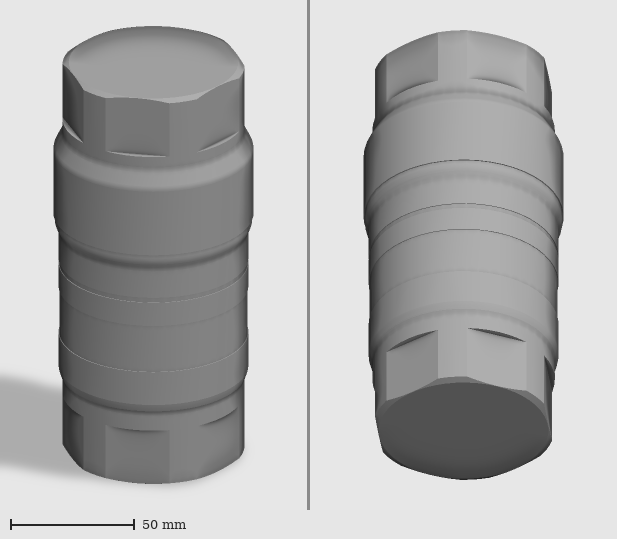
import cadquery as cq

length = 172.1
end_radius = 36.8
sleeve_radius = 40.5
body_radius = 38.4
waist_radius = 38.0
shoulder_radius = 40.0

flat_count = 6
flat_distance = 34.5
flat_angle = 8.7
flat_length = 25.0
end_face_radius = 34.2
end_chamfer_height = 1.2

base_neck_top = 31.7
base_lip_bottom = 33.9
base_lip_top = 34.5
lower_band_bottom = 37.2
lower_band_top = 51.8
middle_band_bottom = 72.5
groove_bottom = 82.8
groove_top = 85.0
upper_band_top = 96.9
shoulder_slope_bottom = 99.1
shoulder_edge = 100.3
shoulder_bottom = 103.1
sleeve_bottom = 105.0
sleeve_top = 133.4
cone_bottom = 135.5
cone_top = 140.5
top_neck_bottom = 142.5

base_lip_bottom_radius = 37.5
base_lip_top_radius = 37.7
shoulder_slope_radius = 38.9
shoulder_edge_radius = 39.4
cone_bottom_radius = 40.0
cone_top_radius = 37.3


def turned_body():
    """Revolve the stepped outline about the Z axis."""
    outline = (
        cq.Workplane("XZ")
        .moveTo(0, 0)
        .lineTo(end_face_radius, 0)
        .lineTo(end_radius, end_chamfer_height)
        .lineTo(end_radius, base_neck_top)
        .tangentArcPoint((base_lip_bottom_radius, base_lip_bottom), relative=False)
        .lineTo(base_lip_top_radius, base_lip_top)
        .tangentArcPoint((body_radius, lower_band_bottom), relative=False)
        .lineTo(body_radius, lower_band_top)
        .lineTo(waist_radius, lower_band_top)
        .lineTo(waist_radius, middle_band_bottom)
        .lineTo(body_radius, middle_band_bottom)
        .lineTo(body_radius, groove_bottom)
        .lineTo(waist_radius, groove_bottom)
        .lineTo(waist_radius, groove_top)
        .lineTo(body_radius, groove_top)
        .lineTo(body_radius, upper_band_top)
        .tangentArcPoint((shoulder_slope_radius, shoulder_slope_bottom), relative=False)
        .lineTo(shoulder_edge_radius, shoulder_edge)
        .tangentArcPoint((shoulder_radius, shoulder_bottom), relative=False)
        .lineTo(shoulder_radius, sleeve_bottom)
        .lineTo(sleeve_radius, sleeve_bottom)
        .lineTo(sleeve_radius, sleeve_top)
        .tangentArcPoint((cone_bottom_radius, cone_bottom), relative=False)
        .lineTo(cone_top_radius, cone_top)
        .tangentArcPoint((end_radius, top_neck_bottom), relative=False)
        .lineTo(end_radius, length - end_chamfer_height)
        .lineTo(end_face_radius, length)
        .lineTo(0, length)
        .close()
    )
    return outline.revolve(360, (0, 0, 0), (0, 1, 0))


def flat_cutter(bottom):
    """Ring with a hexagonal opening that mills the flats of one end."""
    return (
        cq.Workplane("XY")
        .workplane(offset=bottom)
        .circle(2 * sleeve_radius)
        .extrude(flat_length)
        .cut(
            cq.Workplane("XY")
            .workplane(offset=bottom)
            .transformed(rotate=(0, 0, flat_angle - 90))
            .polygon(flat_count, 2 * flat_distance, circumscribed=True)
            .extrude(flat_length)
        )
    )


result = turned_body()
for bottom in (0, length - flat_length):
    result = result.cut(flat_cutter(bottom))